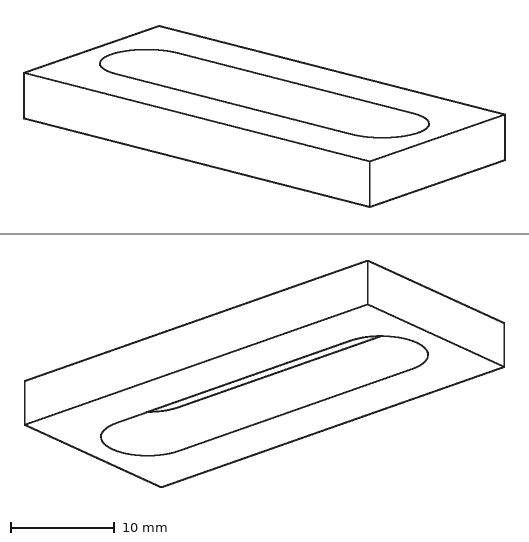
import cadquery as cq

plate_length = 44.0
plate_width = 20.0
plate_thickness = 4.6

slot_length = 39.0
slot_width = 9.0

plate = cq.Workplane("XY").box(plate_length, plate_width, plate_thickness)

result = plate.faces(">Z").workplane().slot2D(slot_length, slot_width).cutThruAll()